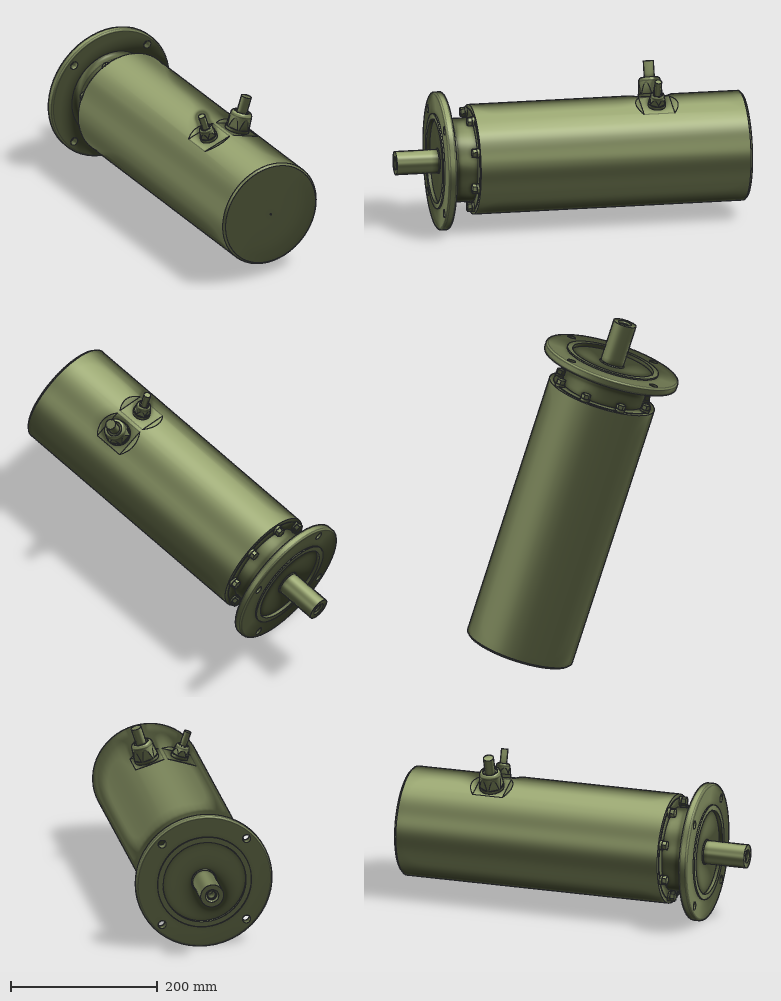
import cadquery as cq
import math

TOTAL_LENGTH = 484

SHAFT_DIA = 32.0
COLLAR_DIA = 35.0
COLLAR_LENGTH = 1.5
CENTRE_HOLE_MOUTH_DIA = 18.5
CENTRE_HOLE_SINK = 2.5
CENTRE_HOLE_RELIEF_DIA = 13.0
CENTRE_HOLE_RELIEF_DEPTH = 6.0
CENTRE_HOLE_DIA = 10.5
CENTRE_HOLE_DEPTH = 22.0
DRILL_POINT_HALF_ANGLE = 60

SPIGOT_DIA = 130.0
SPIGOT_START = 54.5
SPIGOT_RECESS_DIA = 115.0
SPIGOT_RECESS_DEPTH = 5
FLANGE_DIA = 189
FLANGE_START = 56.5
FLANGE_END = 68.2
FLANGE_EDGE_RADIUS = 2.5
FLANGE_HOLE_DIA = 11.0
FLANGE_HOLE_CIRCLE_DIA = 165.5
FLANGE_HOLE_COUNT = 4
FIRST_FLANGE_HOLE_ANGLE = 45
NECK_DIA = 114.0
NECK_FLARE_RISE = 5.5
NECK_FLARE_END = 77.5

HOUSING_DIA = 150
HOUSING_START = 105.0
HOUSING_END = 482.5
HOUSING_CHAMFER = 3.0
FRONT_RIM_DIA = 138.5
FRONT_RIM_START = 104.0
PIP_DIA = 1.5

HEX_SIDES = 6
SCREW_COUNT = 8
SCREW_CIRCLE_DIA = 130.5
SCREW_HEAD_START = 95.5
SCREW_HEAD_CORNER_DIA = 12.5
WASHER_START = 101.0
WASHER_DIA = 13.0

PAD_X = 359.0
PAD_TILT = 18
PAD_HEIGHT = 72.0
PAD_LENGTH = 42.5
PAD_MOUTH_LENGTH = 58


def make_turned_body():
    """Shaft, flange, neck and housing as one revolved profile."""
    recess_floor = SPIGOT_START + SPIGOT_RECESS_DEPTH
    flange_r = FLANGE_DIA / 2
    flange_face_r = flange_r - FLANGE_EDGE_RADIUS
    edge_mid_in = FLANGE_EDGE_RADIUS * (1 - math.sqrt(0.5))
    neck_r = NECK_DIA / 2
    housing_r = HOUSING_DIA / 2
    flare_length = NECK_FLARE_END - FLANGE_END
    flare_turn = 2 * math.atan(NECK_FLARE_RISE / flare_length)
    flare_r = flare_length / math.sin(flare_turn)
    flare_mid = (
        NECK_FLARE_END - flare_r * math.sin(flare_turn / 2),
        neck_r + flare_r * (1 - math.cos(flare_turn / 2)),
    )
    profile = (
        cq.Workplane("XY")
        .moveTo(0, 0)
        .lineTo(0, SHAFT_DIA / 2)
        .lineTo(recess_floor - COLLAR_LENGTH, SHAFT_DIA / 2)
        .lineTo(recess_floor, COLLAR_DIA / 2)
        .lineTo(recess_floor, SPIGOT_RECESS_DIA / 2)
        .lineTo(SPIGOT_START, SPIGOT_RECESS_DIA / 2)
        .lineTo(SPIGOT_START, SPIGOT_DIA / 2)
        .lineTo(FLANGE_START, SPIGOT_DIA / 2)
        .lineTo(FLANGE_START, flange_face_r)
        .threePointArc(
            (FLANGE_START + edge_mid_in, flange_r - edge_mid_in),
            (FLANGE_START + FLANGE_EDGE_RADIUS, flange_r),
        )
        .lineTo(FLANGE_END - FLANGE_EDGE_RADIUS, flange_r)
        .threePointArc(
            (FLANGE_END - edge_mid_in, flange_r - edge_mid_in),
            (FLANGE_END, flange_face_r),
        )
        .lineTo(FLANGE_END, neck_r + NECK_FLARE_RISE)
        .threePointArc(flare_mid, (NECK_FLARE_END, neck_r))
        .lineTo(FRONT_RIM_START, neck_r)
        .lineTo(FRONT_RIM_START, FRONT_RIM_DIA / 2)
        .lineTo(HOUSING_START, FRONT_RIM_DIA / 2)
        .lineTo(HOUSING_START, housing_r)
        .lineTo(HOUSING_END - HOUSING_CHAMFER, housing_r)
        .lineTo(HOUSING_END, housing_r - HOUSING_CHAMFER)
        .lineTo(HOUSING_END, PIP_DIA / 2)
        .lineTo(TOTAL_LENGTH, PIP_DIA / 2)
        .lineTo(TOTAL_LENGTH, 0)
        .close()
    )
    return profile.revolve(360, (0, 0, 0), (1, 0, 0))


def make_centre_hole():
    """Countersunk, stepped blind hole with a drill point, entering the shaft tip."""
    hole_r = CENTRE_HOLE_DIA / 2
    point_length = hole_r / math.tan(math.radians(DRILL_POINT_HALF_ANGLE))
    return (
        cq.Workplane("XY")
        .moveTo(0, 0)
        .lineTo(0, CENTRE_HOLE_MOUTH_DIA / 2)
        .lineTo(CENTRE_HOLE_SINK, CENTRE_HOLE_RELIEF_DIA / 2)
        .lineTo(CENTRE_HOLE_RELIEF_DEPTH, CENTRE_HOLE_RELIEF_DIA / 2)
        .lineTo(CENTRE_HOLE_RELIEF_DEPTH, hole_r)
        .lineTo(CENTRE_HOLE_DEPTH, hole_r)
        .lineTo(CENTRE_HOLE_DEPTH + point_length, 0)
        .close()
        .revolve(360, (0, 0, 0), (1, 0, 0))
    )


def make_flange_holes():
    """Through holes on the diagonals of the flange."""
    return (
        cq.Workplane("YZ")
        .workplane(offset=FLANGE_START)
        .polarArray(FLANGE_HOLE_CIRCLE_DIA / 2, FIRST_FLANGE_HOLE_ANGLE, 360, FLANGE_HOLE_COUNT)
        .circle(FLANGE_HOLE_DIA / 2)
        .extrude(FLANGE_END - FLANGE_START)
    )


def screw_positions(start):
    """Workplane facing along the motor axis with a point for every screw."""
    first_angle = 180 / SCREW_COUNT
    return (
        cq.Workplane("YZ")
        .workplane(offset=start)
        .polarArray(SCREW_CIRCLE_DIA / 2, first_angle, 360, SCREW_COUNT)
    )


def make_screw_heads():
    """Ring of hexagon heads on round washers, standing on the front face of the housing."""
    heads = (
        screw_positions(SCREW_HEAD_START)
        .polygon(HEX_SIDES, SCREW_HEAD_CORNER_DIA)
        .extrude(WASHER_START - SCREW_HEAD_START)
    )
    washers = (
        screw_positions(WASHER_START)
        .circle(WASHER_DIA / 2)
        .extrude(HOUSING_START - WASHER_START)
    )
    return heads.union(washers)


def make_pad_cut(tilt):
    """Flat-bottomed cut with sloping ends, turned about the motor axis."""
    rise = HOUSING_DIA / 2 - PAD_HEIGHT
    slope_run = (PAD_MOUTH_LENGTH - PAD_LENGTH) / 2
    top_half = PAD_LENGTH / 2 + 2 * slope_run
    top_height = PAD_HEIGHT + 2 * rise
    return (
        cq.Workplane("XZ")
        .polyline([
            (PAD_X - PAD_LENGTH / 2, PAD_HEIGHT),
            (PAD_X + PAD_LENGTH / 2, PAD_HEIGHT),
            (PAD_X + top_half, top_height),
            (PAD_X - top_half, top_height),
        ])
        .close()
        .extrude(HOUSING_DIA / 2, both=True)
        .rotate((0, 0, 0), (1, 0, 0), tilt)
    )


def make_motor():
    return (
        make_turned_body()
        .cut(make_centre_hole())
        .cut(make_flange_holes())
        .union(make_screw_heads())
        .cut(make_pad_cut(PAD_TILT))
        .cut(make_pad_cut(-PAD_TILT))
    )


def make_gland(tilt, base_dia, base_height, nut_width, nut_top_dia, shoulder_height, nut_height,
               mouth_dia, mouth_depth, cable_dia, cable_height):
    """Cable gland standing on a pad: round base, tapered hexagon nut with a domed top, and cable."""
    base = cq.Workplane("XY").circle(base_dia / 2).extrude(base_height)
    dome_rise = nut_height - shoulder_height
    dome_mid_in = dome_rise * (1 - math.sqrt(0.5))
    nut = (
        cq.Workplane("XZ")
        .lineTo(base_dia / 2, 0)
        .lineTo(base_dia / 2, base_height)
        .lineTo(nut_top_dia / 2, shoulder_height)
        .threePointArc(
            (nut_top_dia / 2 - dome_mid_in, nut_height - dome_mid_in),
            (nut_top_dia / 2 - dome_rise, nut_height),
        )
        .lineTo(0, nut_height)
        .close()
        .revolve(360, (0, 0, 0), (0, 1, 0))
    )
    hexagon = (
        cq.Workplane("XY")
        .polygon(HEX_SIDES, nut_width, circumscribed=True)
        .extrude(nut_height)
    )
    mouth = (
        cq.Workplane("XY")
        .workplane(offset=nut_height - mouth_depth)
        .circle(mouth_dia / 2)
        .extrude(mouth_depth)
    )
    cable = cq.Workplane("XY").circle(cable_dia / 2).extrude(cable_height)
    return (
        base.union(nut.intersect(hexagon))
        .cut(mouth)
        .union(cable)
        .translate((PAD_X, 0, PAD_HEIGHT))
        .rotate((0, 0, 0), (1, 0, 0), tilt)
    )


motor = make_motor()
power_gland = make_gland(
    tilt=-PAD_TILT, base_dia=33.5, base_height=4.5, nut_width=30.0, nut_top_dia=29.5,
    shoulder_height=22.5, nut_height=27.0, mouth_dia=20.5, mouth_depth=2.5,
    cable_dia=14.0, cable_height=49.5,
)
signal_gland = make_gland(
    tilt=PAD_TILT, base_dia=23.5, base_height=4.5, nut_width=20.0, nut_top_dia=19.0,
    shoulder_height=15.0, nut_height=19.0, mouth_dia=13.0, mouth_depth=2.0,
    cable_dia=9.0, cable_height=38.0,
)

result = cq.Compound.makeCompound([motor.val(), power_gland.val(), signal_gland.val()])